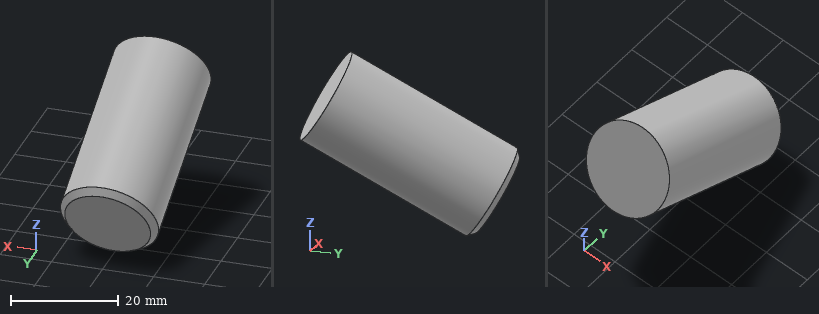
import cadquery as cq

diameter = 19.06
length = 37.09
chamfer = 1.22
tilt_angle = 26.565


def make_pin():
    """Upright round pin with its lower end chamfered and its upper end sharp."""
    pin = cq.Workplane("XY").circle(diameter / 2).extrude(length)
    return pin.faces("<Z").edges().chamfer(chamfer)


def tilt(pin):
    """Lean the pin in the YZ plane so its sharp end faces -Y and upward."""
    lean_from_vertical = 90 - tilt_angle
    return pin.rotate((0, 0, 0), (1, 0, 0), lean_from_vertical)


result = tilt(make_pin())